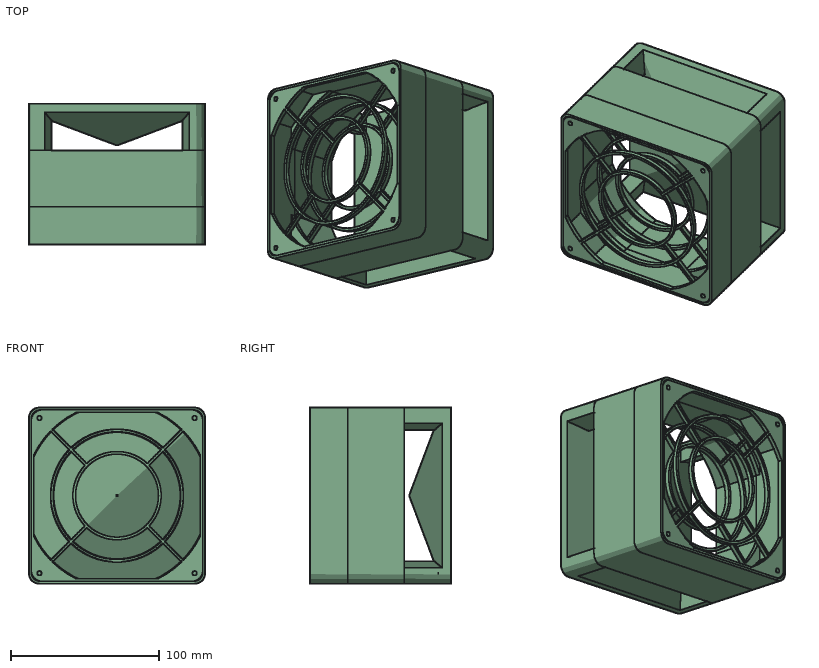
import cadquery as cq
side = 119.0
corner_radius = 7.1

frame_back = 25.5
duct_back = 63.7
overall_depth = 95.2

grille_opening_radius = 62.5
grille_opening_width = 112.2
duct_radius = 62.0
duct_width = 115.0

inner_ring_diameter = 56.0
grille_ring_diameter = 86.3
frame_ring_diameter = 85.5
bar_width = 1.8
bar_angles = (45, 135, 225, 315)

grille_width = 115.7
grille_corner_radius = 7.1
seat_corner_radius = 6.0
grille_thickness = 3.0
screw_hole_diameter = 3.0
screw_pitch = 104.7

frame_wall = 3.3
frame_wall_front = frame_back - frame_wall
chamber_chamfer = 19.4

base_thickness = 6.0
base_front = overall_depth - base_thickness
pyramid_height = 22.3
tip_width = 0.8
post_width = 10.8
post_tip = 44.1


def at_depth(y):
    """Sketch plane at depth y whose extrusions run toward +Y (sketch x is X, sketch y is -Z)."""
    return cq.Workplane(cq.Plane(origin=(0, y, 0), xDir=(1, 0, 0), normal=(0, 1, 0)))


def rounded_block(width, radius, start, end):
    return at_depth(start).rect(width, width).extrude(end - start).edges("|Y").fillet(radius)


def air_opening(width, radius, start, end):
    square = at_depth(start).rect(width, width).extrude(end - start)
    return square.intersect(at_depth(start).circle(radius).extrude(end - start))


def ring(inner_diameter, start, end):
    inner_radius = inner_diameter / 2
    return at_depth(start).circle(inner_radius + bar_width).circle(inner_radius).extrude(end - start)


def guard(outer_ring_diameter, opening_radius, start, end):
    """Two rings joined to the edge of the opening by diagonal bars."""
    bars = ring(inner_ring_diameter, start, end).union(ring(outer_ring_diameter, start, end))
    bar_start = (inner_ring_diameter + bar_width) / 2
    bar_end = opening_radius + bar_width / 2
    bar = (
        at_depth(start)
        .center((bar_start + bar_end) / 2, 0)
        .rect(bar_end - bar_start, bar_width)
        .extrude(end - start)
    )
    for angle in bar_angles:
        bars = bars.union(bar.rotate((0, 0, 0), (0, 1, 0), angle))
    return bars


def make_grille():
    plate = rounded_block(grille_width, grille_corner_radius, 0, grille_thickness)
    opening = air_opening(grille_opening_width, grille_opening_radius, 0, grille_thickness)
    screw_holes = (
        at_depth(0)
        .rect(screw_pitch, screw_pitch, forConstruction=True)
        .vertices()
        .circle(screw_hole_diameter / 2)
        .extrude(grille_thickness)
    )
    bars = guard(grille_ring_diameter, grille_opening_radius, 0, grille_thickness)
    return plate.cut(opening).cut(screw_holes).union(bars)


def make_frame():
    block = rounded_block(side, corner_radius, 0, frame_back)
    seat = rounded_block(grille_width, seat_corner_radius, 0, grille_thickness)
    chamber = (
        at_depth(grille_thickness)
        .rect(duct_width, duct_width)
        .extrude(frame_wall_front - grille_thickness)
        .edges("|Y")
        .chamfer(chamber_chamfer)
    )
    opening = air_opening(duct_width, duct_radius, frame_wall_front, frame_back)
    bars = guard(frame_ring_diameter, duct_radius, frame_wall_front, frame_back)
    return block.cut(seat).cut(chamber).cut(opening).union(bars)


def make_duct():
    block = rounded_block(side, corner_radius, frame_back, duct_back)
    return block.cut(air_opening(duct_width, duct_radius, frame_back, duct_back))


def make_pyramid():
    """Pyramid whose rounded edges narrow from the base corners to the tip."""
    tip_radius = corner_radius * tip_width / side
    base_outline = cq.Sketch().rect(side, side).vertices().fillet(corner_radius)
    tip_outline = cq.Sketch().rect(tip_width, tip_width).vertices().fillet(tip_radius)
    return (
        at_depth(base_front - pyramid_height)
        .placeSketch(tip_outline, base_outline.moved(cq.Location(cq.Vector(0, 0, pyramid_height))))
        .loft(ruled=True)
    )


def make_post():
    """Corner post between two side windows, tapering inward to an edge."""
    half = side / 2
    post_edge = half - post_width
    post = (
        at_depth(duct_back)
        .polyline([(half, half), (half, post_edge), (post_tip, post_tip), (post_edge, half)])
        .close()
        .extrude(base_front - duct_back)
    )
    return post.intersect(rounded_block(side, corner_radius, duct_back, base_front))


def make_deflector():
    deflector = rounded_block(side, corner_radius, base_front, overall_depth).union(make_pyramid())
    post = make_post()
    for angle in (0, 90, 180, 270):
        deflector = deflector.union(post.rotate((0, 0, 0), (0, 1, 0), angle))
    return deflector


grille = make_grille()
frame = make_frame()
duct = make_duct()
deflector = make_deflector()

result = cq.Compound.makeCompound([grille.val(), frame.val(), duct.val(), deflector.val()])